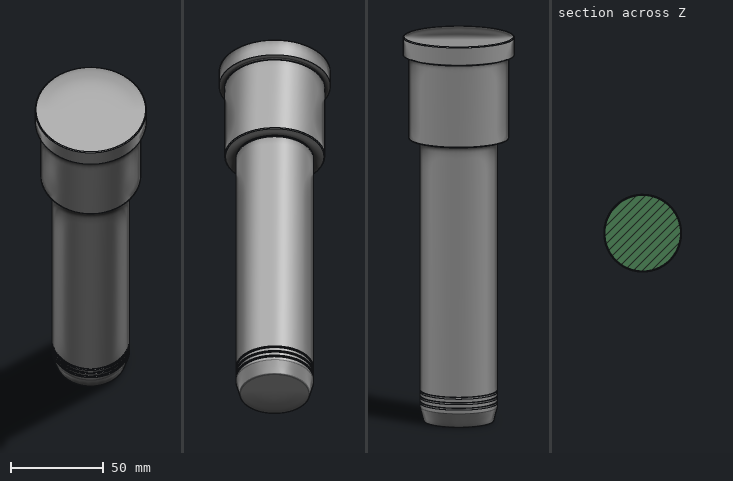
import math

import cadquery as cq

total_length = 211.0
head_height = 10.0
sleeve_length = 46.0
taper_length = 8.0

head_diameter = 60.0
sleeve_diameter = 54.0
shaft_diameter = 42.0

taper_angle = 15.0
tip_edge_fillet = 0.5

head_edge_chamfer = 0.5
sleeve_edge_chamfer = 0.5

groove_width = 1.0
groove_depth = 0.5
groove_spacing = 2.0
groove_count = 3

groove_pitch = groove_width + groove_spacing
head_bottom_z = total_length - head_height
sleeve_bottom_z = head_bottom_z - sleeve_length
tip_radius = shaft_diameter / 2 - taper_length * math.tan(math.radians(taper_angle))

UP = 1
DOWN = -1


def cylinder(diameter, bottom_z, height):
    return cq.Workplane("XY").workplane(offset=bottom_z).circle(diameter / 2).extrude(height)


def revolve_about_z(outline):
    """Revolve a closed outline in the XZ plane about the Z axis."""
    return outline.revolve(360, (0, 0), (0, 1))


def square_groove(diameter, bottom_z):
    """Ring cutter for a groove with two square walls."""
    outer = cylinder(diameter, bottom_z, groove_width)
    return outer.cut(cylinder(diameter - 2 * groove_depth, bottom_z, groove_width))


def rounded_groove(diameter, square_wall_z, direction):
    """Ring cutter for a groove with one square wall and one wall rounded to the groove depth."""
    radius = diameter / 2
    floor_radius = radius - groove_depth
    round_wall_z = square_wall_z + direction * groove_width
    arc_start_z = round_wall_z - direction * groove_depth
    arc_reach = groove_depth * math.sqrt(0.5)
    outline = (
        cq.Workplane("XZ")
        .moveTo(radius, square_wall_z)
        .lineTo(floor_radius, square_wall_z)
        .lineTo(floor_radius, arc_start_z)
        .threePointArc(
            (radius - arc_reach, arc_start_z + direction * arc_reach),
            (radius, round_wall_z),
        )
        .close()
    )
    return revolve_about_z(outline)


def make_head():
    head = cylinder(head_diameter, head_bottom_z, head_height)
    return head.faces(">Z").edges().chamfer(head_edge_chamfer)


def make_sleeve():
    """Sleeve with a chamfered lower edge and an undercut directly below the head."""
    sleeve = cylinder(sleeve_diameter, sleeve_bottom_z, sleeve_length)
    sleeve = sleeve.faces("<Z").edges().chamfer(sleeve_edge_chamfer)
    return sleeve.cut(rounded_groove(sleeve_diameter, head_bottom_z - groove_width, UP))


def make_shaft():
    """Shaft with a tapered tip, grooves above the taper and an undercut below the sleeve."""
    shaft_radius = shaft_diameter / 2
    outline = cq.Workplane("XZ").polyline([
        (0, 0),
        (tip_radius, 0),
        (shaft_radius, taper_length),
        (shaft_radius, sleeve_bottom_z),
        (0, sleeve_bottom_z),
    ]).close()
    shaft = revolve_about_z(outline)
    shaft = shaft.faces("<Z").edges().fillet(tip_edge_fillet)
    for number in range(1, groove_count + 1):
        groove_top_z = taper_length + number * groove_pitch
        shaft = shaft.cut(rounded_groove(shaft_diameter, groove_top_z, DOWN))
    return shaft.cut(square_groove(shaft_diameter, sleeve_bottom_z - groove_width))


result = make_shaft().union(make_sleeve()).union(make_head())